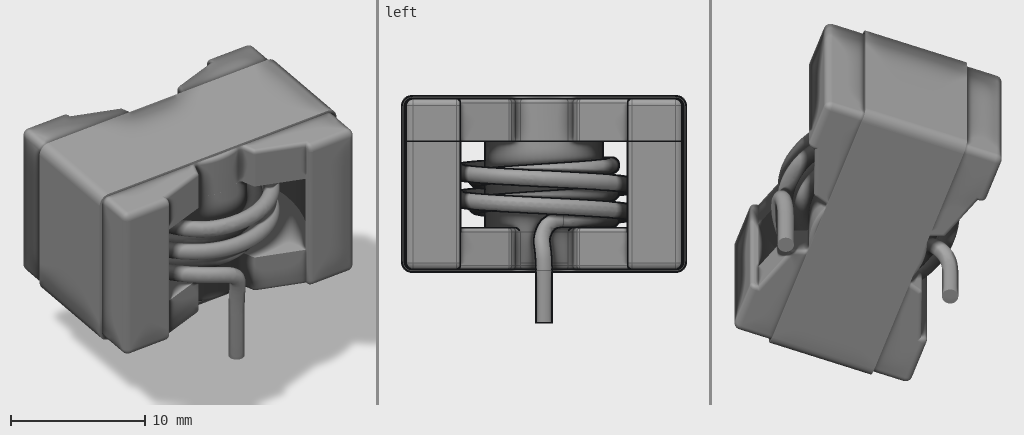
import cadquery as cq
import math

band_length = 21.17
band_height = 13.13
band_width = 8.05
band_wall = 0.21
band_corner_radius = 0.8

core_width = 14.01
core_length = 20.53
core_edge_radius = 0.5
notch_edge_radius = 0.3
root_radius = 0.28
core_bottom = band_wall
core_top = band_height - band_wall
split_height = 9.74
floor_height = 3.32
post_diameter = 8.8
window_radius = 8.93
rim_radius = 0.3

leg_inner_y = 6.22
wing_outer_x = 6.44
wing_tip_x = 5.17
wing_tip_y = 2.48
neck_y = 2.03

wire_diameter = 1.2
pin_x = 6.5
pin_bottom = -3.77
pin_top = 0.13
inner_coil_radius = (post_diameter + wire_diameter) / 2
outer_coil_radius = inner_coil_radius + wire_diameter + 0.01
coil_pitch = 2.01
inner_coil_bottom = 3.94
coil_step = 15
coil_start = 195
lift_angle = 270
crossing_start = lift_angle + 2 * 360
crossing_end = crossing_start + 90
coil_end = crossing_end + 675
start_bend_point = (-5.5, 0.1, 2.75)
end_bend_point = (6.77, -0.32, 3.6)

post_radius = post_diameter / 2
neck_x = math.sqrt(post_radius**2 - neck_y**2)


def side_notch(side):
    """Waist cut through the full height on one X side (side = 1 or -1)."""
    outside_x = core_width
    return (
        cq.Workplane("XY")
        .workplane(offset=core_bottom)
        .moveTo(side * outside_x, leg_inner_y)
        .lineTo(side * wing_outer_x, leg_inner_y)
        .lineTo(side * wing_tip_x, wing_tip_y)
        .lineTo(side * neck_x, neck_y)
        .threePointArc((side * post_radius, 0), (side * neck_x, -neck_y))
        .lineTo(side * wing_tip_x, -wing_tip_y)
        .lineTo(side * wing_outer_x, -leg_inner_y)
        .lineTo(side * outside_x, -leg_inner_y)
        .close()
        .extrude(core_top - core_bottom)
    )


def upright_edges_at(x, y):
    """Select the vertical edges standing at (+-x, +-y)."""
    tolerance = 0.01
    selector = None
    for sx in (-1, 1):
        for sy in (-1, 1):
            box = cq.selectors.BoxSelector(
                (sx * x - tolerance, sy * y - tolerance, core_bottom),
                (sx * x + tolerance, sy * y + tolerance, core_top),
            )
            selector = box if selector is None else selector + box
    return selector


def cut_side_edges(core):
    """Top and bottom rims of the side notches."""
    def is_rim(edge):
        box = edge.BoundingBox()
        on_outer_face = abs(box.zmin - core_bottom) < 0.002 or abs(box.zmax - core_top) < 0.002
        return box.zlen < 0.002 and on_outer_face and box.ylen > 0.002 and edge_reach(edge) < leg_inner_y + 0.002

    return core.newObject([edge for edge in core.edges().vals() if is_rim(edge)])


def edge_reach(edge):
    """Largest distance of an edge from the plane Y = 0."""
    box = edge.BoundingBox()
    return max(abs(box.ymin), abs(box.ymax))


def leg_corner_edges(core):
    """Outer corners where the legs end at the notches, bent over at top and bottom."""
    def is_corner(edge):
        box = edge.BoundingBox()
        in_leg_face = box.ylen < 0.002 and abs(edge_reach(edge) - leg_inner_y) < 0.002
        return in_leg_face and box.zlen > 0.002 and abs(edge.Center().x) > wing_outer_x + 0.02

    return core.newObject([edge for edge in core.edges().vals() if is_corner(edge)])


def make_full_core():
    """Cup and cap in one piece, without the winding window."""
    core = (
        cq.Workplane("XY")
        .box(core_width, core_length, core_top - core_bottom, centered=(True, True, False))
        .translate((0, 0, core_bottom))
        .edges()
        .fillet(core_edge_radius)
    )
    for side in (-1, 1):
        core = core.cut(side_notch(side))
    core = core.edges(upright_edges_at(wing_tip_x, wing_tip_y)).fillet(notch_edge_radius)
    core = core.edges(upright_edges_at(neck_x, neck_y)).fillet(root_radius)
    core = cut_side_edges(core).fillet(notch_edge_radius)
    return leg_corner_edges(core).fillet(notch_edge_radius)


def make_cup(core):
    """Lower part of the core: base and legs around the winding window, and the post."""
    window = cylinder(window_radius, floor_height, split_height)
    post = cylinder(post_radius, core_bottom + core_edge_radius, split_height)
    shell = core.intersect(slab(core_bottom, split_height)).cut(window)
    shell = shell.edges(rim_selector()).fillet(rim_radius)
    return shell.union(post)


def rim_selector():
    """Floor edges of the wing on the -X, -Y side."""
    return cq.selectors.BoxSelector(
        (-wing_outer_x - 0.1, -leg_inner_y + 0.1, floor_height - 0.02),
        (-neck_x, -neck_y + 0.21, floor_height + 0.02),
    )


def cylinder(radius, bottom, top):
    """Upright cylinder about the Z axis between two heights."""
    return cq.Workplane("XY").workplane(offset=bottom).circle(radius).extrude(top - bottom)


def slab(bottom, top):
    """Block over the whole plan of the core between two heights."""
    return (
        cq.Workplane("XY")
        .workplane(offset=bottom)
        .rect(2 * core_width, 2 * core_length)
        .extrude(top - bottom)
    )


def make_band():
    """Closed strip around the two ends, the top and the bottom of the core."""
    def block(length, height, bottom, radius):
        return (
            cq.Workplane("XY")
            .box(band_width, length, height, centered=(True, True, False))
            .translate((0, 0, bottom))
            .edges("|X")
            .fillet(radius)
        )

    outside = block(band_length, band_height, 0, band_corner_radius)
    inside = block(
        band_length - 2 * band_wall,
        core_top - core_bottom,
        core_bottom,
        band_corner_radius - band_wall,
    )
    return outside.cut(inside)


def on_circle(radius, angle, height):
    """Point at an angle in degrees around the post."""
    turn = math.radians(angle)
    return cq.Vector(radius * math.cos(turn), radius * math.sin(turn), height)


def coil_point(angle):
    """Point of the winding: a flat start, the layer going up, the crossing, the layer going down."""
    rise = coil_pitch * max(0, min(angle, crossing_start) - lift_angle) / 360
    fall = coil_pitch * max(0, angle - crossing_end) / 360
    progress = (angle - crossing_start) / (crossing_end - crossing_start)
    progress = max(0, min(1, progress))
    smooth = progress**2 * (3 - 2 * progress)
    radius = inner_coil_radius + smooth * (outer_coil_radius - inner_coil_radius)
    return on_circle(radius, angle, inner_coil_bottom + rise - fall)


def make_coil():
    """One wire: start pin, both layers, end pin."""
    angles = range(coil_start, coil_end + 1, coil_step)
    winding = cq.Edge.makeSpline([coil_point(angle) for angle in angles])
    up = cq.Vector(0, 0, 1)
    pin_drop = cq.Vector(0, 0, pin_bottom - pin_top)
    start_pin = cq.Vector(-pin_x, 0, pin_top)
    end_pin = cq.Vector(pin_x, 0, pin_top)
    start_bend = cq.Edge.makeSpline(
        [start_pin, cq.Vector(*start_bend_point), coil_point(coil_start)],
        tangents=[up, winding.tangentAt(0)],
    )
    end_bend = cq.Edge.makeSpline(
        [coil_point(coil_end), cq.Vector(*end_bend_point), end_pin],
        tangents=[winding.tangentAt(1), -up],
    )
    path = cq.Wire.assembleEdges(
        [
            cq.Edge.makeLine(start_pin + pin_drop, start_pin),
            start_bend,
            winding,
            end_bend,
            cq.Edge.makeLine(end_pin, end_pin + pin_drop),
        ]
    )
    return (
        cq.Workplane("XY")
        .workplane(offset=pin_bottom)
        .center(-pin_x, 0)
        .circle(wire_diameter / 2)
        .sweep(cq.Workplane(path))
    )


full_core = make_full_core()
cup = make_cup(full_core)
cap = full_core.intersect(slab(split_height, core_top))
band = make_band()
coil = make_coil()
result = cq.Compound.makeCompound([cup.val(), cap.val(), band.val(), coil.val()])